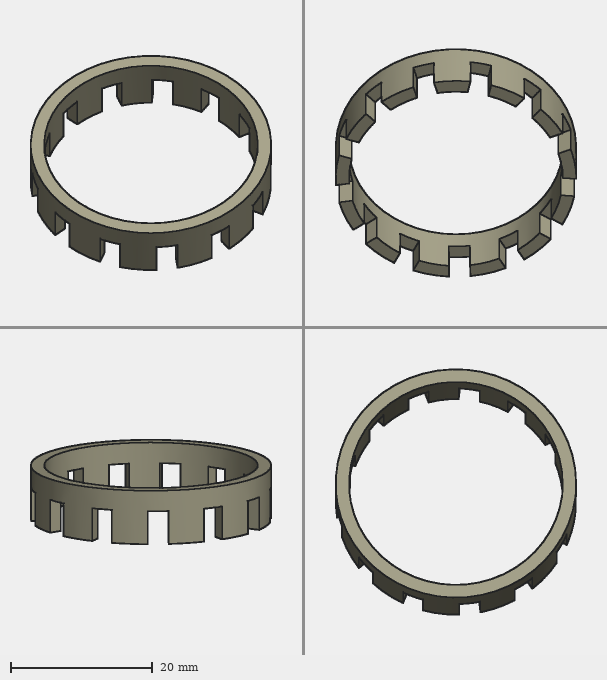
import cadquery as cq

outer_diameter = 34.0
inner_diameter = 30.2
height = 7.75

slot_count = 13
slot_width = 3.0
slot_height = 4.75
first_slot_angle = -90.0


def make_ring():
    return (
        cq.Workplane("XY")
        .circle(outer_diameter / 2)
        .circle(inner_diameter / 2)
        .extrude(height)
    )


def make_slot_cutter(angle):
    """Parallel-sided block reaching from the ring axis past the outer wall."""
    return (
        cq.Workplane("XY")
        .box(outer_diameter, slot_width, slot_height, centered=(False, True, False))
        .rotate((0, 0, 0), (0, 0, 1), angle)
    )


result = make_ring()
for index in range(slot_count):
    slot_angle = first_slot_angle + index * 360.0 / slot_count
    result = result.cut(make_slot_cutter(slot_angle))